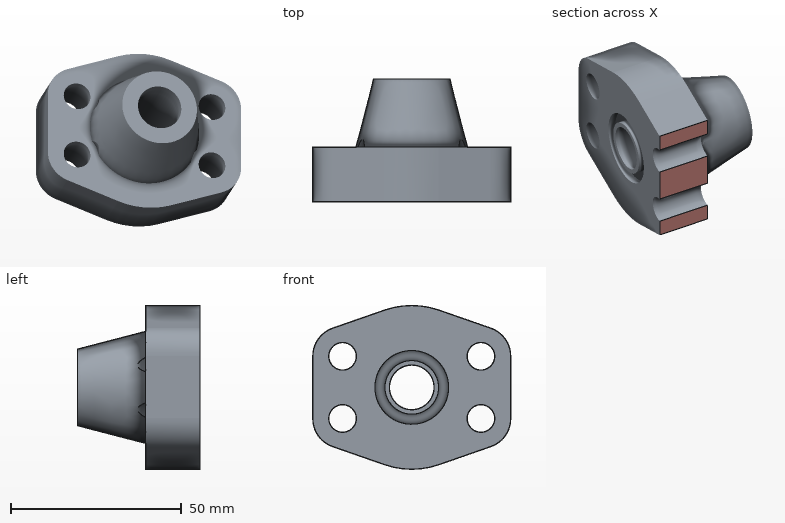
import cadquery as cq
import math

plate_width = 58.0
plate_height = 48.0
plate_thickness = 16.0

bolt_spacing_x = 40.5
bolt_spacing_z = 18.2
bolt_hole_diameter = 8.0
spotface_diameter = 12.8

neck_length = 20.0
neck_base_diameter = 32.8
neck_tip_diameter = 22.4

bore_diameter = 13.0
groove_outer_diameter = 21.6
groove_inner_diameter = 15.7
groove_depth = 2.3

bolt_x = bolt_spacing_x / 2
bolt_z = bolt_spacing_z / 2
corner_radius = plate_width / 2 - bolt_x
crown_radius = plate_height / 2
total_length = plate_thickness + neck_length


def front_plane(y):
    """Workplane at depth y with local axes X and Z; extruding goes toward +Y."""
    return cq.Workplane(cq.Plane(origin=(0, y, 0), xDir=(1, 0, 0), normal=(0, 1, 0)))


def bolt_cylinders(diameter, y_start, length):
    """Four cylinders along +Y on the bolt pattern."""
    return (
        front_plane(y_start)
        .rect(bolt_spacing_x, bolt_spacing_z, forConstruction=True)
        .vertices()
        .circle(diameter / 2)
        .extrude(length)
    )


def make_plate():
    """Plate whose straight flanks are tangent to the crown and corner arcs."""
    bolt_distance = math.hypot(bolt_x, bolt_z)
    bolt_angle = math.atan2(bolt_z, bolt_x)
    flank_angle = bolt_angle + math.acos((crown_radius - corner_radius) / bolt_distance)

    crown_x = crown_radius * math.cos(flank_angle)
    crown_z = crown_radius * math.sin(flank_angle)
    corner_x = bolt_x + corner_radius * math.cos(flank_angle)
    corner_z = bolt_z + corner_radius * math.sin(flank_angle)
    mid_x = bolt_x + corner_radius * math.cos(flank_angle / 2)
    mid_z = bolt_z + corner_radius * math.sin(flank_angle / 2)
    side_x = plate_width / 2

    return (
        front_plane(0)
        .moveTo(side_x, -bolt_z)
        .lineTo(side_x, bolt_z)
        .threePointArc((mid_x, mid_z), (corner_x, corner_z))
        .lineTo(crown_x, crown_z)
        .threePointArc((0, crown_radius), (-crown_x, crown_z))
        .lineTo(-corner_x, corner_z)
        .threePointArc((-mid_x, mid_z), (-side_x, bolt_z))
        .lineTo(-side_x, -bolt_z)
        .threePointArc((-mid_x, -mid_z), (-corner_x, -corner_z))
        .lineTo(-crown_x, -crown_z)
        .threePointArc((0, -crown_radius), (crown_x, -crown_z))
        .lineTo(corner_x, -corner_z)
        .threePointArc((mid_x, -mid_z), (side_x, -bolt_z))
        .close()
        .extrude(plate_thickness)
    )


def make_neck():
    """Cone from the back of the plate to the tip."""
    cone = cq.Solid.makeCone(
        neck_base_diameter / 2,
        neck_tip_diameter / 2,
        neck_length,
        pnt=cq.Vector(0, plate_thickness, 0),
        dir=cq.Vector(0, 1, 0),
    )
    return cq.Workplane(obj=cone)


def make_bore():
    """Cylinder through the plate and the neck."""
    return front_plane(0).circle(bore_diameter / 2).extrude(total_length)


def make_seal_groove():
    """Ring sunk into the front face around the bore."""
    return (
        front_plane(0)
        .circle(groove_outer_diameter / 2)
        .circle(groove_inner_diameter / 2)
        .extrude(groove_depth)
    )


neck = make_neck().cut(bolt_cylinders(spotface_diameter, plate_thickness, neck_length))
result = (
    make_plate()
    .union(neck)
    .cut(bolt_cylinders(bolt_hole_diameter, 0, plate_thickness))
    .cut(make_bore())
    .cut(make_seal_groove())
)